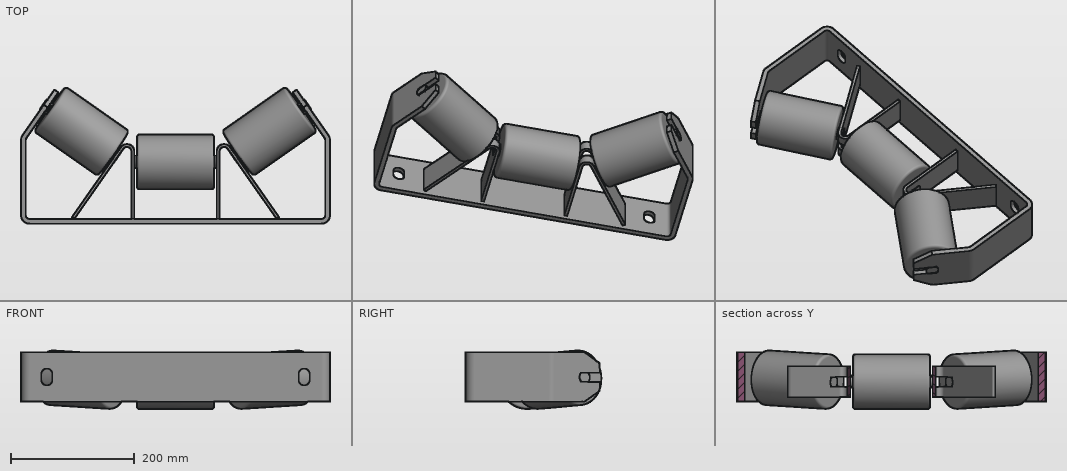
import cadquery as cq
import math

frame_length = 500.0
frame_height = 80.0
frame_wall = 8.0
bend_inner_radius = 6.0
bend_outer_radius = bend_inner_radius + frame_wall
side_wall_end = 135.2
arm_length = 90.0
arm_chamfer_length = 30.0
arm_chamfer_height = 17.5
mount_slot_width = 18.0
mount_slot_height = 27.0
mount_slot_spacing = 416.0
mount_slot_z = frame_height / 2

roller_diameter = 89.0
roller_length = 125.0
roller_rounding = 4.5
axle_diameter = 20.0
axle_flat_width = 15.0
shoulder_clearance = 1.0
middle_gap = 4.0
middle_axis_y = 100.0
middle_axis_z = 32.5
side_angle = 35.0
side_tilt = 3.0
side_centre_z = 35.65
arm_tip_to_axle = 30.0
axle_protrusion = 1.0

bracket_wall = 5.0
bracket_height = 50.0
bracket_bottom_z = middle_axis_z - bracket_height / 2
bracket_inner_radius = 7.0
bracket_outer_radius = bracket_inner_radius + bracket_wall
bracket_bend_y = 117.0
bracket_face_x = roller_length / 2 + middle_gap

cut_margin = 20.0


def direction(angle):
    """Horizontal unit vector at an angle in degrees from +X."""
    return cq.Vector(math.cos(math.radians(angle)), math.sin(math.radians(angle)), 0)


def xy(vector):
    return (vector.x, vector.y)


along_arm = direction(90 - side_angle)
outward = direction(180 - side_angle)

corner_centre = cq.Vector(-frame_length / 2 + bend_outer_radius, bend_outer_radius, 0)
arm_bend_centre = cq.Vector(corner_centre.x, side_wall_end, 0)
bracket_bend_centre = cq.Vector(-bracket_face_x - bracket_outer_radius, bracket_bend_y, 0)

arm_start = arm_bend_centre + outward * bend_outer_radius
arm_tip = arm_start + along_arm * arm_length
slanted_leg_start = bracket_bend_centre + outward * bracket_outer_radius

axle_on_arm = arm_tip - along_arm * arm_tip_to_axle
leg_to_arm = (axle_on_arm - slanted_leg_start).dot(outward) - frame_wall
side_sheet_offset = leg_to_arm / 2
side_centre = axle_on_arm - outward * (side_sheet_offset + frame_wall) + cq.Vector(0, 0, side_centre_z)
side_rise = cq.Vector(0, 0, math.tan(math.radians(side_tilt)))
side_plane = cq.Plane(origin=side_centre, xDir=along_arm, normal=outward + side_rise)
middle_plane = cq.Plane(origin=(0, middle_axis_y, middle_axis_z), xDir=(0, 1, 0), normal=(-1, 0, 0))


def mirrored(body):
    """Copy on the other side of the carrier's middle plane."""
    return body.mirror("YZ")


def flatted_bar(plane, start, end):
    """Axle bar with flats above and below, between two places along the plane's normal."""
    sketch = cq.Workplane(plane).workplane(offset=start)
    flats = sketch.rect(axle_diameter, axle_flat_width).extrude(end - start)
    return sketch.circle(axle_diameter / 2).extrude(end - start).intersect(flats)


def axle_slot(plane, start, end, length):
    """Cutter for a slot that seats a flatted axle and runs from it along the plane's X."""
    run = (
        cq.Workplane(plane)
        .workplane(offset=start)
        .center(length / 2, 0)
        .rect(length, axle_flat_width)
        .extrude(end - start)
    )
    return run.union(flatted_bar(plane, start, end))


def make_roller(plane, sheet_offset, axle_start, axle_end):
    """Roller centred on a plane, its axle round up to the sheets and flatted beyond."""
    barrel = (
        cq.Workplane(plane)
        .workplane(offset=-roller_length / 2)
        .circle(roller_diameter / 2)
        .extrude(roller_length)
        .edges("%CIRCLE")
        .fillet(roller_rounding)
    )
    shoulder_offset = sheet_offset - shoulder_clearance
    round_part = (
        cq.Workplane(plane)
        .workplane(offset=-shoulder_offset)
        .circle(axle_diameter / 2)
        .extrude(2 * shoulder_offset)
    )
    return barrel.union(round_part).union(flatted_bar(plane, axle_start, axle_end))


def bent_left_half():
    """Left half of the frame bar: front wall, corner, side wall and arm."""
    corner_middle = direction(225)
    arm_bend_middle = direction(180 - side_angle / 2)
    outer_x = -frame_length / 2
    inner_x = outer_x + frame_wall
    return (
        cq.Workplane("XY")
        .moveTo(0, 0)
        .lineTo(corner_centre.x, 0)
        .threePointArc(xy(corner_centre + corner_middle * bend_outer_radius), (outer_x, corner_centre.y))
        .lineTo(outer_x, side_wall_end)
        .threePointArc(xy(arm_bend_centre + arm_bend_middle * bend_outer_radius), xy(arm_start))
        .lineTo(*xy(arm_tip))
        .lineTo(*xy(arm_tip - outward * frame_wall))
        .lineTo(*xy(arm_start - outward * frame_wall))
        .threePointArc(
            xy(arm_bend_centre + arm_bend_middle * bend_inner_radius), (inner_x, side_wall_end)
        )
        .lineTo(inner_x, corner_centre.y)
        .threePointArc(
            xy(corner_centre + corner_middle * bend_inner_radius), (corner_centre.x, frame_wall)
        )
        .lineTo(0, frame_wall)
        .close()
        .extrude(frame_height)
    )


def arm_chamfers():
    """Cutters for the upper and lower corners of the left arm's tip."""
    tip_plane = cq.Plane(origin=arm_tip, xDir=along_arm, normal=-outward)
    corners = cq.Workplane(tip_plane)
    for edge_z, inset_z in (
        (0, arm_chamfer_height),
        (frame_height, frame_height - arm_chamfer_height),
    ):
        corners = corners.polyline([(0, edge_z), (-arm_chamfer_length, edge_z), (0, inset_z)]).close()
    return corners.extrude(frame_wall)


def make_frame():
    mount_slot = (
        cq.Workplane("XZ")
        .center(-mount_slot_spacing / 2, mount_slot_z)
        .slot2D(mount_slot_height, mount_slot_width, 90)
        .extrude(-frame_wall)
    )
    slot_start = side_sheet_offset - shoulder_clearance
    slot_end = side_sheet_offset + frame_wall + axle_protrusion
    arm_slot = axle_slot(side_plane, slot_start, slot_end, arm_tip_to_axle + cut_margin)
    left_half = bent_left_half().cut(arm_chamfers()).cut(arm_slot).cut(mount_slot)
    return left_half.union(mirrored(left_half)).clean()


def make_bracket():
    """Left bracket; its slots run from the two axles up and over the fold."""
    fold_middle = direction((180 - side_angle) / 2)
    inner_x = -bracket_face_x - bracket_wall
    inner_leg_start = slanted_leg_start - outward * bracket_wall
    slanted_leg_length = (inner_leg_start.y - frame_wall) / along_arm.y
    down_leg = along_arm * -slanted_leg_length
    strip = (
        cq.Workplane("XY", origin=(0, 0, bracket_bottom_z))
        .moveTo(-bracket_face_x, frame_wall)
        .lineTo(-bracket_face_x, bracket_bend_y)
        .threePointArc(xy(bracket_bend_centre + fold_middle * bracket_outer_radius), xy(slanted_leg_start))
        .lineTo(*xy(slanted_leg_start + down_leg))
        .lineTo(*xy(inner_leg_start + down_leg))
        .lineTo(*xy(inner_leg_start))
        .threePointArc(
            xy(bracket_bend_centre + fold_middle * bracket_inner_radius), (inner_x, bracket_bend_y)
        )
        .lineTo(inner_x, frame_wall)
        .close()
        .extrude(bracket_height)
    )
    fold_width = 2 * bracket_outer_radius
    slot_length = bracket_bend_y + bracket_outer_radius - middle_axis_y + cut_margin
    straight_slot = axle_slot(middle_plane, bracket_face_x, bracket_face_x + fold_width, slot_length)
    slanted_slot = axle_slot(
        side_plane,
        -side_sheet_offset - fold_width,
        -side_sheet_offset + shoulder_clearance,
        slot_length,
    )
    return strip.cut(straight_slot).cut(slanted_slot)


middle_axle_end = bracket_face_x + bracket_wall
side_axle_start = -side_sheet_offset - bracket_wall
side_axle_end = side_sheet_offset + frame_wall + axle_protrusion

frame = make_frame()
middle_roller = make_roller(middle_plane, bracket_face_x, -middle_axle_end, middle_axle_end)
left_bracket = make_bracket()
left_roller = make_roller(side_plane, side_sheet_offset, side_axle_start, side_axle_end)

bodies = [frame, middle_roller]
for left_body in (left_bracket, left_roller):
    bodies += [left_body, mirrored(left_body)]
result = cq.Compound.makeCompound([body.val() for body in bodies])